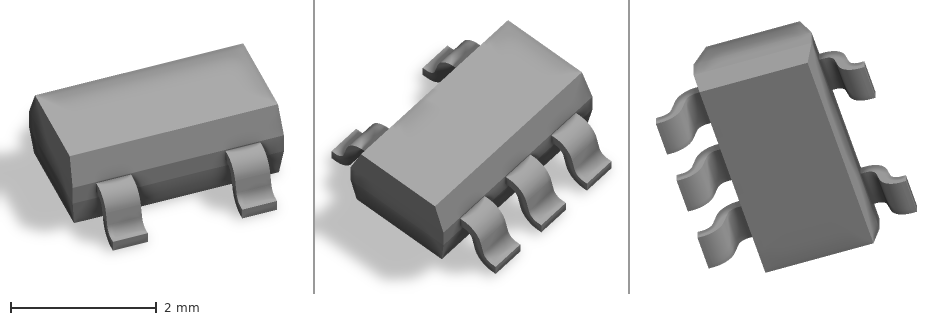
import cadquery as cq
import math

body_width = 1.7
body_length = 3.1
body_height = 1.15
belt_height = 0.288
taper_height = (body_height - belt_height) / 2
top_inset_x = 0.175
top_inset_y = 0.022
bottom_inset_x = 0.07
bottom_inset_y = 0.045

lead_span = 3.0
lead_width = 0.51
lead_pitch = 0.95
lead_thickness = 0.16
lead_top = 0.698
inner_bend_radius = 0.155
outer_bend_radius = inner_bend_radius + lead_thickness
bend_angle = math.radians(75)

mark_diameter = 0.085
mark_depth = 0.03
mark_x = -0.495
mark_y = lead_pitch


def tapered_half(belt_z, end_z, inset_x, inset_y):
    """Loft from the full outline at the belt to the smaller outline at the end face."""
    return (
        cq.Workplane("XY", origin=(0, 0, belt_z))
        .rect(body_width, body_length)
        .workplane(offset=end_z - belt_z)
        .rect(body_width - 2 * inset_x, body_length - 2 * inset_y)
        .loft(ruled=True)
    )


def make_mark():
    return (
        cq.Workplane("XY", origin=(mark_x, mark_y, body_height - mark_depth))
        .circle(mark_diameter / 2)
        .extrude(mark_depth)
    )


def make_housing():
    belt_top = taper_height + belt_height
    belt = (
        cq.Workplane("XY", origin=(0, 0, taper_height))
        .rect(body_width, body_length)
        .extrude(belt_height)
    )
    lower_half = tapered_half(taper_height, 0, bottom_inset_x, bottom_inset_y)
    upper_half = tapered_half(belt_top, body_height, top_inset_x, top_inset_y)
    return belt.union(lower_half).union(upper_half).cut(make_mark())


def make_lead(y):
    """Lead on the -X side, centred on y, ending against the housing belt."""
    tip_x = -lead_span / 2
    root_x = -body_width / 2
    sine = math.sin(bend_angle)
    cosine = math.cos(bend_angle)

    rise = lead_top - lead_thickness
    bend_radii = inner_bend_radius + outer_bend_radius
    leg_rise = rise - bend_radii * (1 - cosine)
    bent_run = bend_radii * sine + leg_rise / math.tan(bend_angle)
    flat_length = (root_x - tip_x - bent_run) / 2

    lower_x = tip_x + flat_length
    lower_z = outer_bend_radius
    upper_x = root_x - flat_length
    upper_z = lead_top - outer_bend_radius

    def lower_bend_end(radius):
        return (lower_x + radius * sine, lower_z - radius * cosine)

    def upper_bend_end(radius):
        return (upper_x - radius * sine, upper_z + radius * cosine)

    return (
        cq.Workplane("XZ", origin=(0, y + lead_width / 2, 0))
        .moveTo(tip_x, 0)
        .lineTo(lower_x, 0)
        .radiusArc(lower_bend_end(outer_bend_radius), -outer_bend_radius)
        .lineTo(*upper_bend_end(inner_bend_radius))
        .radiusArc((upper_x, lead_top - lead_thickness), inner_bend_radius)
        .lineTo(root_x, lead_top - lead_thickness)
        .lineTo(root_x, lead_top)
        .lineTo(upper_x, lead_top)
        .radiusArc(upper_bend_end(outer_bend_radius), -outer_bend_radius)
        .lineTo(*lower_bend_end(inner_bend_radius))
        .radiusArc((lower_x, lead_thickness), inner_bend_radius)
        .lineTo(tip_x, lead_thickness)
        .close()
        .extrude(lead_width)
    )


housing = make_housing()
mark = make_mark()

leads = []
for row in (-1, 0, 1):
    leads.append(make_lead(row * lead_pitch).val())
for row in (-1, 1):
    leads.append(make_lead(row * lead_pitch).mirror("YZ").val())

result = cq.Compound.makeCompound([housing.val(), mark.val(), *leads])